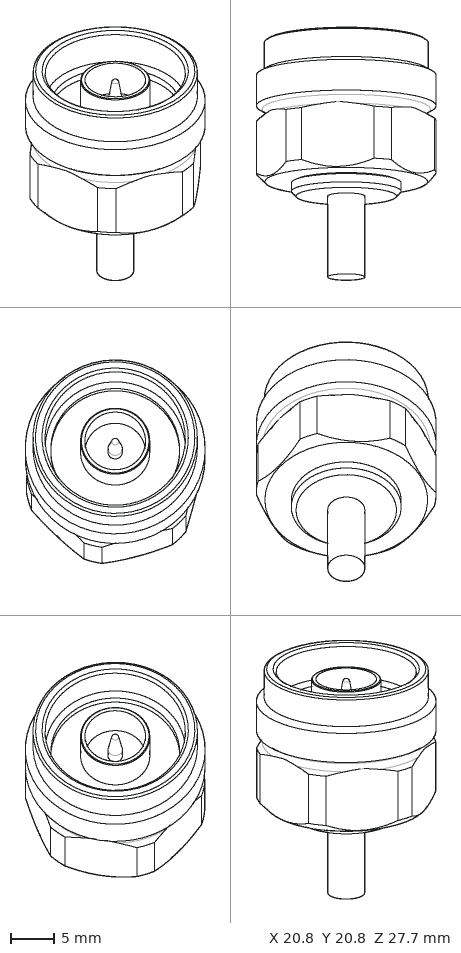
import cadquery as cq
import math


total_height = 27.7
stem_length = 9.5
flange_top = 11.05
nut_bottom = 11.2

stem_radius = 2.15
flange_radius = 6.35
flange_chamfer = 0.55
neck_radius = 6.0

hex_across_flats = 19.0
nut_radius = 10.4
hex_bottom_chamfer = 1.0
hex_top_corner = 18.3

collar_bottom = 20.1
collar_top = 23.7
collar_bevel = 0.5
sleeve_radius = 9.5
sleeve_edge_width = 0.3
sleeve_edge_height = 0.2

groove_radius = 9.43
groove_bevel_angle = math.radians(30)
groove_middle = (hex_top_corner + collar_bottom) / 2
groove_depth = nut_radius - groove_radius
groove_half_width = (collar_bottom - hex_top_corner) / 2
groove_fillet = (
    (groove_half_width * math.cos(groove_bevel_angle) - groove_depth * math.sin(groove_bevel_angle))
    / (1 - math.sin(groove_bevel_angle))
)
fillet_end_radius = groove_radius + groove_fillet * (1 - math.sin(groove_bevel_angle))
fillet_end_offset = groove_fillet * math.cos(groove_bevel_angle)

bore_radius = 8.1
bore_edge_chamfer = 0.35
seat_radius = 7.45
seat_top = 23.6
seat_bottom = 23.1
floor_height = 22.25

tube_outer_radius = 4.0
tube_inner_radius = 3.5
tube_top = 26.45
tube_edge_chamfer = 0.1

pin_radius = 0.83
pin_tip_radius = 0.4
pin_cone_bottom = 23.6
pin_cone_top = 26.2
pin_dome_height = 0.3


def revolve_profile(sketch):
    """Close a profile drawn as (radius, height) and turn it around Z."""
    return sketch.close().revolve(360, (0, 0, 0), (0, 1, 0))


def make_stem_and_flange():
    chamfered_radius = flange_radius - flange_chamfer
    return revolve_profile(
        cq.Workplane("XZ")
        .lineTo(stem_radius, 0)
        .lineTo(stem_radius, stem_length)
        .lineTo(chamfered_radius, stem_length)
        .lineTo(flange_radius, stem_length + flange_chamfer)
        .lineTo(flange_radius, flange_top)
        .lineTo(neck_radius, flange_top)
        .lineTo(neck_radius, nut_bottom)
        .lineTo(0, nut_bottom)
    )


def make_turned_nut():
    """Round nut body: bevelled rear, rounded groove, collar and front sleeve."""
    return revolve_profile(
        cq.Workplane("XZ")
        .moveTo(0, nut_bottom)
        .lineTo(nut_radius - hex_bottom_chamfer, nut_bottom)
        .lineTo(nut_radius, nut_bottom + hex_bottom_chamfer)
        .lineTo(nut_radius, hex_top_corner)
        .lineTo(fillet_end_radius, groove_middle - fillet_end_offset)
        .tangentArcPoint((groove_radius, groove_middle), relative=False)
        .tangentArcPoint((fillet_end_radius, groove_middle + fillet_end_offset), relative=False)
        .lineTo(nut_radius, collar_bottom)
        .lineTo(nut_radius, collar_top)
        .lineTo(sleeve_radius, collar_top + collar_bevel)
        .lineTo(sleeve_radius, total_height - sleeve_edge_height)
        .lineTo(sleeve_radius - sleeve_edge_width, total_height)
        .lineTo(0, total_height)
    )


def make_flats_cutter():
    """Material outside the hexagon, whose flats face +X and -X, up to the groove."""
    across_corners = hex_across_flats / math.cos(math.radians(30))
    return (
        cq.Workplane("XY", origin=(0, 0, nut_bottom))
        .circle(across_corners)
        .extrude(groove_middle - nut_bottom)
        .cut(
            cq.Workplane("XY", origin=(0, 0, nut_bottom))
            .transformed(rotate=(0, 0, 30))
            .polygon(6, across_corners)
            .extrude(groove_middle - nut_bottom)
        )
    )


def make_socket():
    """Material removed from the front: chamfered bore, conical seat and floor."""
    return revolve_profile(
        cq.Workplane("XZ")
        .moveTo(0, floor_height)
        .lineTo(seat_radius, floor_height)
        .lineTo(seat_radius, seat_bottom)
        .lineTo(bore_radius, seat_top)
        .lineTo(bore_radius, total_height - bore_edge_chamfer)
        .lineTo(bore_radius + bore_edge_chamfer, total_height)
        .lineTo(0, total_height)
    )


def make_contact_tube():
    return revolve_profile(
        cq.Workplane("XZ")
        .moveTo(tube_inner_radius, floor_height)
        .lineTo(tube_outer_radius, floor_height)
        .lineTo(tube_outer_radius, tube_top - tube_edge_chamfer)
        .lineTo(tube_outer_radius - tube_edge_chamfer, tube_top)
        .lineTo(tube_inner_radius, tube_top)
    )


def make_pin():
    """Straight pin with a conical end and a domed tip."""
    dome_radius = (pin_tip_radius**2 + pin_dome_height**2) / (2 * pin_dome_height)
    dome_center = pin_cone_top + pin_dome_height - dome_radius
    dome_mid_radius = pin_tip_radius / 2
    dome_mid_height = dome_center + math.sqrt(dome_radius**2 - dome_mid_radius**2)
    return revolve_profile(
        cq.Workplane("XZ")
        .moveTo(0, floor_height)
        .lineTo(pin_radius, floor_height)
        .lineTo(pin_radius, pin_cone_bottom)
        .lineTo(pin_tip_radius, pin_cone_top)
        .threePointArc((dome_mid_radius, dome_mid_height), (0, pin_cone_top + pin_dome_height))
    )


nut = make_turned_nut().cut(make_flats_cutter()).cut(make_socket())
result = make_stem_and_flange().union(nut).union(make_contact_tube()).union(make_pin())